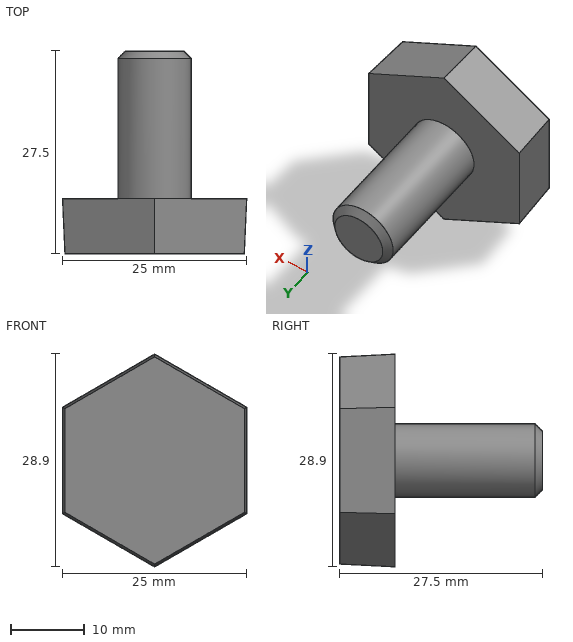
import cadquery as cq

across_corners = 28.87
head_height = 7.5
draft_angle = 2.5
shank_diameter = 10.0
shank_length = 20.0
tip_chamfer = 1.0


def hex_head():
    """Drafted hexagonal head with corners on Z, widest where it meets the shank at Y = 0."""
    return (
        cq.Workplane("XZ")
        .transformed(rotate=(0, 0, 90))
        .polygon(6, across_corners)
        .extrude(head_height, taper=draft_angle)
    )


def shank():
    """Round shank along +Y with a chamfered tip."""
    return (
        cq.Workplane("XZ")
        .circle(shank_diameter / 2)
        .extrude(-shank_length)
        .faces(">Y")
        .chamfer(tip_chamfer)
    )


result = hex_head().union(shank())